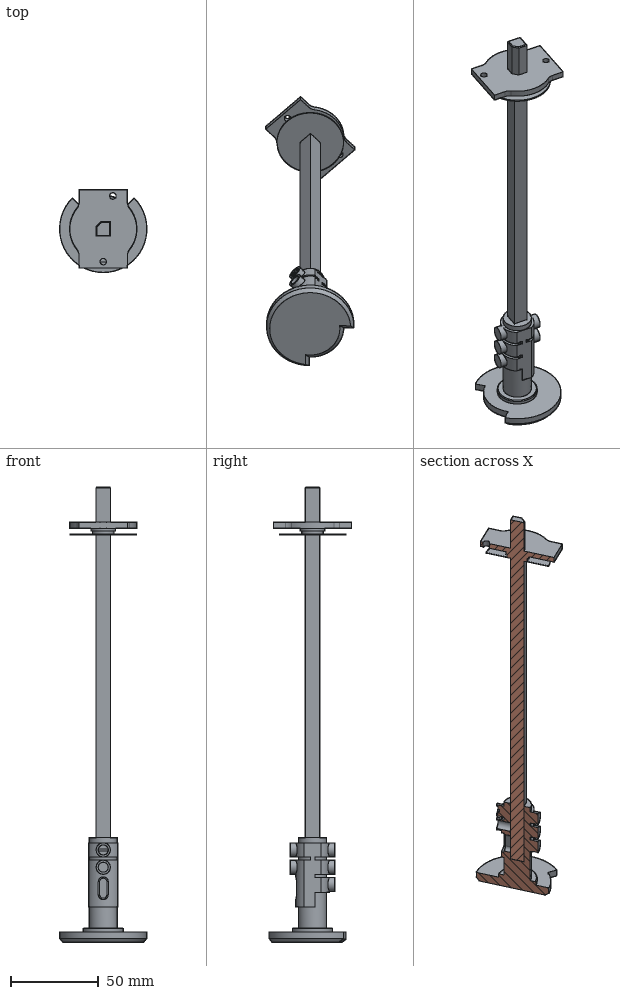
import cadquery as cq
import math

total_height = 259.7

rod_side = 8.3
rod_bottom = 20.3
key_chamfer = 2.9
rod_end_chamfer = 0.5

plate_top = 239.7
plate_thickness = 3.6
plate_radius = 19.2
plate_width = 27.5
plate_length = 44.7
plate_blend = 5.2
plate_hole_diameter = 3.6
plate_hole_offset = 18.7
second_hole_x = 5.5
collar_radius = 7.0
collar_thickness = 1.5
neck_radius = 6.2
neck_thickness = 1.5
washer_radius = 19.0
washer_thickness = 0.8

disc_radius = 25.0
disc_thickness = 6.0
disc_chamfer_height = 2.3
disc_chamfer_width = 1.8
notch_radius = 19.2
notch_angle = 90.0
flange_radius = 11.5
flange_thickness = 2.3
flange_chamfer = 0.5

tube_radius = 8.0
tube_top = 59.7

clamp_radius = 9.5
clamp_width = 16.5
clamp_bottom = rod_bottom
clamp_top = 56.5
back_jaw_bottom = 28.5
jaw_face_y = 1.3
slot_height = 1.5

boss_diameter = 8.0
boss_reach = 12.7
boss_pitch = 9.9
top_boss_z = 52.7
front_boss_count = 2
back_boss_count = 3
screw_hole_diameter = 5.7
screw_recess = 0.8
screw_slot_width = 1.3
screw_slot_depth = 1.0

window_width = 5.7
window_height = 13.0
window_step = 0.8
window_center_z = 31.0

boss_heights = [top_boss_z - i * boss_pitch for i in range(back_boss_count)]


def cylinder_z(radius, bottom, height):
    return cq.Workplane("XY").workplane(offset=bottom).circle(radius).extrude(height)


def cylinder_y(diameter, z, y_start, y_end):
    """Cylinder along Y at height z, from y_start to the larger y_end."""
    plane = cq.Workplane("XZ", origin=(0, y_start, z))
    return plane.circle(diameter / 2).extrude(y_start - y_end)


def box(x_size, y_min, y_max, z_min, z_max):
    """Box centred on X, between the given Y and Z limits."""
    block = cq.Workplane("XY").box(x_size, y_max - y_min, z_max - z_min, centered=(True, False, False))
    return block.translate((0, y_min, z_min))


def square_rod(bottom, top):
    half_side = rod_side / 2
    return box(rod_side, -half_side, half_side, bottom, top)


def make_plate():
    bottom = plate_top - plate_thickness
    half_length = plate_length / 2
    plate = cylinder_z(plate_radius, bottom, plate_thickness)
    plate = plate.union(box(plate_width, -half_length, half_length, bottom, plate_top))

    corner_x = plate_width / 2
    corner_y = math.sqrt(plate_radius**2 - corner_x**2)
    for x in (-corner_x, corner_x):
        for y in (-corner_y, corner_y):
            inner_corner = cq.selectors.NearestToPointSelector((x, y, plate_top - plate_thickness / 2))
            plate = plate.edges("|Z").edges(inner_corner).fillet(plate_blend)

    hole_points = [(0, -plate_hole_offset), (second_hole_x, plate_hole_offset)]
    holes = cq.Workplane("XY").workplane(offset=bottom).pushPoints(hole_points)
    return plate.cut(holes.circle(plate_hole_diameter / 2).extrude(plate_thickness))


def make_shaft():
    """Square rod with the mounting plate and the thin washer under it."""
    key = square_rod(plate_top, total_height).edges("|Z and <X and >Y").chamfer(key_chamfer)
    key = key.faces(">Z").chamfer(rod_end_chamfer)
    collar_bottom = plate_top - plate_thickness - collar_thickness
    neck_bottom = collar_bottom - neck_thickness
    shaft = square_rod(rod_bottom, plate_top).union(key)
    shaft = shaft.union(make_plate())
    shaft = shaft.union(cylinder_z(collar_radius, collar_bottom, collar_thickness))
    shaft = shaft.union(cylinder_z(neck_radius, neck_bottom, neck_thickness))
    return shaft.union(cylinder_z(washer_radius, neck_bottom - washer_thickness, washer_thickness))


def make_base():
    """Disc with a chamfered underside, a notched rim and a flange around the tube."""
    disc = cylinder_z(disc_radius, 0, disc_thickness)
    reach = 2 * disc_radius
    half_width = reach * math.tan(math.radians(notch_angle / 2))
    wedge = cq.Workplane("XY").polyline([(0, 0), (half_width, reach), (-half_width, reach)]).close()
    notch = wedge.extrude(disc_thickness).cut(cylinder_z(notch_radius, 0, disc_thickness))
    flange = cylinder_z(flange_radius, disc_thickness, flange_thickness).faces(">Z").chamfer(flange_chamfer)
    disc = disc.cut(notch).faces("<Z").chamfer(disc_chamfer_height, disc_chamfer_width)
    return disc.union(flange)


def make_clamp():
    """Round clamp with flat sides, split into jaws by slots from the front and the back."""
    clamp = cylinder_z(clamp_radius, clamp_bottom, clamp_top - clamp_bottom)
    clamp = clamp.intersect(box(clamp_width, -clamp_radius, clamp_radius, clamp_bottom, clamp_top))
    clamp = clamp.cut(box(clamp_width, jaw_face_y, clamp_radius, clamp_bottom, back_jaw_bottom))

    def cut_slot(body, y_min, y_max, upper_boss_z):
        z = upper_boss_z - boss_pitch / 2
        return body.cut(box(clamp_width, y_min, y_max, z - slot_height / 2, z + slot_height / 2))

    for z in boss_heights[:back_boss_count - 1]:
        clamp = cut_slot(clamp, jaw_face_y, clamp_radius, z)
    for z in boss_heights[:front_boss_count - 1]:
        clamp = cut_slot(clamp, -clamp_radius, -jaw_face_y, z)
    return clamp


def window_slot(height, width, inner_y):
    """Upright round-ended slot from inner_y out through the front of the clamp."""
    plane = cq.Workplane("XZ", origin=(0, inner_y, window_center_z))
    return plane.slot2D(height, width, 90).extrude(clamp_radius + inner_y)


def make_coupling():
    """Base disc, tube and clamp, with the square socket for the rod."""
    coupling = make_base().union(cylinder_z(tube_radius, disc_thickness, tube_top - disc_thickness))
    coupling = coupling.union(make_clamp())

    for z in boss_heights:
        coupling = coupling.union(cylinder_y(boss_diameter, z, 0, boss_reach))
    for z in boss_heights[:front_boss_count]:
        coupling = coupling.union(cylinder_y(boss_diameter, z, -boss_reach, 0))

    screw_face = screw_recess - boss_reach
    coupling = coupling.cut(cylinder_y(screw_hole_diameter, top_boss_z, -boss_reach, screw_face))
    half_slot = screw_slot_width / 2
    coupling = coupling.cut(box(screw_hole_diameter, screw_face, screw_face + screw_slot_depth,
                                top_boss_z - half_slot, top_boss_z + half_slot))

    for z in boss_heights[1:front_boss_count]:
        coupling = coupling.cut(cylinder_y(screw_hole_diameter, z, -boss_reach, 0))

    inner_window = window_slot(window_height - 2 * window_step, window_width - 2 * window_step, 0)
    coupling = coupling.cut(window_slot(window_height, window_width, -tube_radius)).cut(inner_window)
    return coupling.cut(square_rod(rod_bottom, tube_top))


shaft = make_shaft()
coupling = make_coupling()

result = cq.Compound.makeCompound([shaft.val(), coupling.val()])